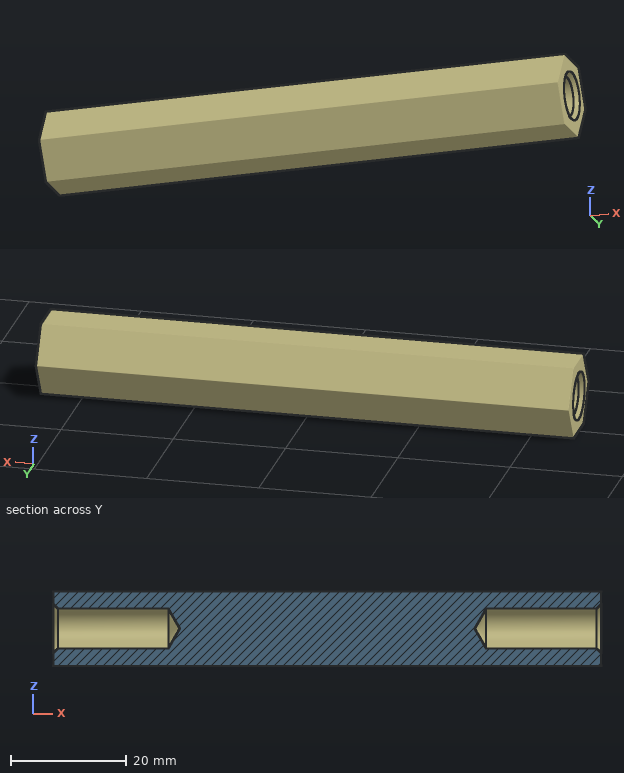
import cadquery as cq
import math

length = 95.0
across_flats = 13.0
across_corners = across_flats / math.cos(math.radians(30))

edge_radius = 0.1

bore_diameter = 6.8
bore_depth = 19.95
drill_tip_angle = 120.0
countersink_diameter = 8.55


def drilled_hole():
    """Countersunk blind hole with a conical bottom, entering at X = 0."""
    bore_radius = bore_diameter / 2
    mouth_radius = countersink_diameter / 2
    countersink_depth = mouth_radius - bore_radius
    tip_length = bore_radius / math.tan(math.radians(drill_tip_angle / 2))
    return (
        cq.Workplane("XY")
        .polyline([
            (0, 0),
            (0, mouth_radius),
            (countersink_depth, bore_radius),
            (bore_depth, bore_radius),
            (bore_depth + tip_length, 0),
        ])
        .close()
        .revolve(360, (0, 0, 0), (1, 0, 0))
    )


hexagon = cq.Workplane("YZ").polygon(6, across_corners).extrude(length).edges().fillet(edge_radius)
near_hole = drilled_hole()
far_hole = near_hole.mirror("YZ").translate((length, 0, 0))

result = hexagon.cut(near_hole).cut(far_hole)